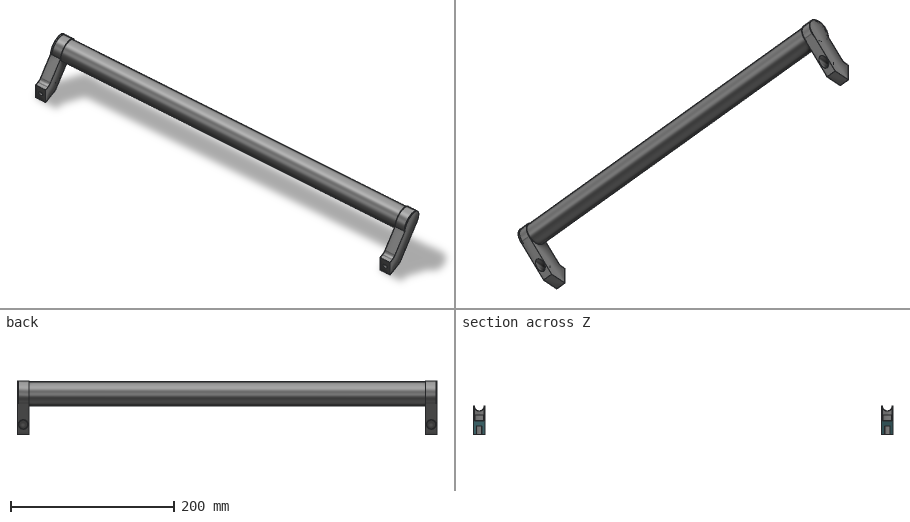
import cadquery as cq
import math

length = 514.0
overall_depth = 66.0
bracket_width = 14.5

tube_diameter = 30.0
end_wall = 1.5

head_radius = 16.0
foot_height = 24.5
foot_fillet = 8.0

hole_height = 12.5
hole_diameter = 6.0
hole_depth = 10.5
recess_diameter = 12.0
recess_floor = 24.0
inner_recess_diameter = 11.0
inner_recess_floor = 17.0

foot_front = head_radius - overall_depth
foot_bottom = head_radius - overall_depth
foot_top = foot_bottom + foot_height
tube_length = length - 2 * end_wall


def make_tube():
    return (
        cq.Workplane("YZ", origin=(end_wall, 0, 0))
        .circle(tube_diameter / 2)
        .extrude(tube_length)
    )


def make_arm(start_x):
    """Round head with a 45 degree arm that ends in an upright foot."""
    tangent_offset = head_radius / math.sqrt(2)
    upper_corner_y = foot_top - head_radius
    lower_corner_y = head_radius * math.sqrt(2) + foot_bottom
    arm = (
        cq.Workplane("YZ", origin=(start_x, 0, 0))
        .moveTo(-head_radius, 0)
        .lineTo(upper_corner_y, foot_top)
        .lineTo(foot_front, foot_top)
        .lineTo(foot_front, foot_bottom)
        .lineTo(lower_corner_y, foot_bottom)
        .lineTo(tangent_offset, -tangent_offset)
        .threePointArc((0, head_radius), (-head_radius, 0))
        .close()
        .extrude(bracket_width)
    )
    inner_corner = cq.selectors.NearestToPointSelector(
        (start_x + bracket_width / 2, upper_corner_y, foot_top)
    )
    return arm.edges(inner_corner).fillet(foot_fillet)


def make_bore(start_x, diameter, near_end, far_end):
    """Cylinder along Y, between two distances from the front face of the foot."""
    hole_x = start_x + bracket_width / 2
    return (
        cq.Workplane("XZ", origin=(hole_x, foot_front + near_end, foot_bottom + hole_height))
        .circle(diameter / 2)
        .extrude(near_end - far_end)
    )


def make_bracket(start_x, tube_body):
    front_hole = make_bore(start_x, hole_diameter, 0, hole_depth)
    outer_recess = make_bore(start_x, recess_diameter, recess_floor, overall_depth)
    inner_recess = make_bore(start_x, inner_recess_diameter, inner_recess_floor, overall_depth)
    return make_arm(start_x).cut(front_hole).cut(outer_recess).cut(inner_recess).cut(tube_body)


tube = make_tube()
brackets = [make_bracket(start_x, tube) for start_x in (0, length - bracket_width)]

result = cq.Compound.makeCompound([tube.val(), *[bracket.val() for bracket in brackets]])